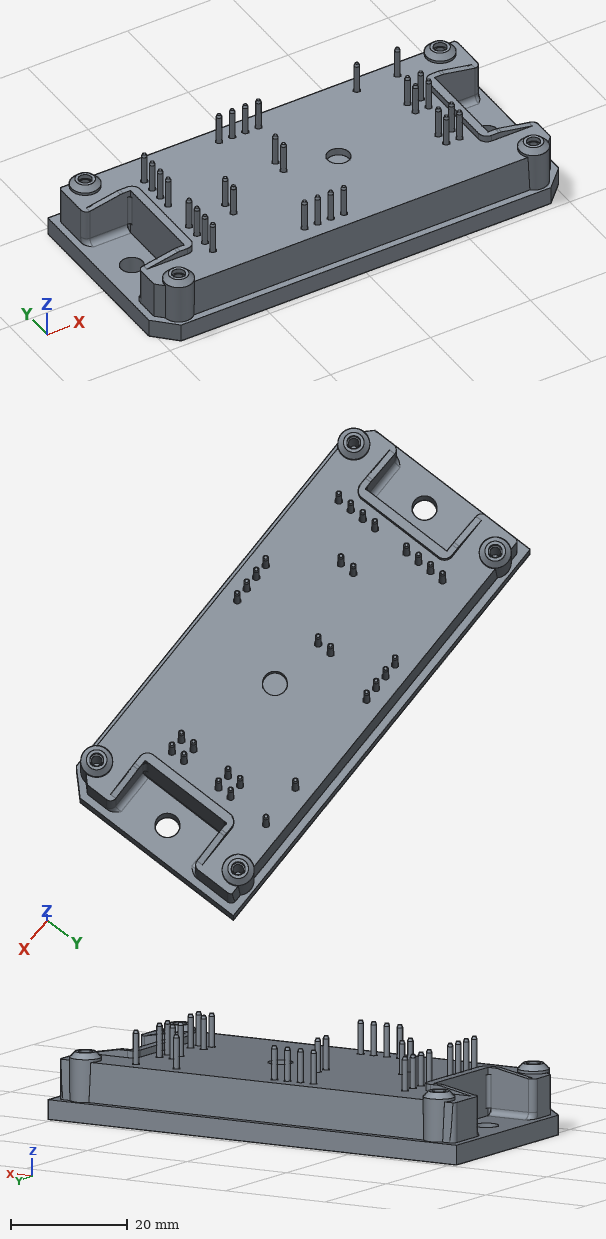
import cadquery as cq
flange_length = 82.0
flange_width = 37.4
flange_height = 3.45
flange_chamfer = 4.0
screw_hole_diameter = 4.3
screw_hole_x = 35.5

block_inset = 1.3
block_top = 10.4
block_corner_radius = 1.0
block_side_draft = 0.25
center_hole_x = 5.8
center_hole_depth = 1.4

pocket_back_x = 30.4
pocket_half_width = 8.85
mouth_radius = 1.15
floor_fillet = 1.15
slot_width = 0.6

rim_side_width = 1.15
rim_back_width = 1.6
rim_top = 11.65
rim_corner_radius = 1.6
ramp_top_x = 32.15
ramp_blend_radius = 2.9

boss_x = screw_hole_x
boss_y = 15.4
boss_diameter = 5.5
boss_top = 11.9
boss_chamfer = 1.0
boss_hole_diameter = 2.4
boss_hole_depth = 0.8
boss_core_diameter = 1.8
boss_core_depth = 6.6

substrate_width = 31.2
substrate_thickness = 1.0
pin_diameter = 1.0
pin_top = 16.2
pin_tip_height = 0.5
pin_tip_taper = 0.205
pin_hole_diameter = 1.2

pin_pitch = 2.6
pair_pitch = 2.7
row_y = 14.1
row_start_x = -9.5
row_count = 4
column_x = -26.15
column_start_y = 3.45
column_count = 4
block_pin_x = 23.5
block_pin_y = 3.8
upper_pair = (-4.3, 1.5)
lower_pair = (-17.7, -1.5)
pair_count = 2
single_pins_x = (18.0, block_pin_x + pin_pitch)

block_half_length = flange_length / 2 - block_inset
block_half_width = flange_width / 2 - block_inset
rim_height = rim_top - block_top
rim_half_width = pocket_half_width + rim_side_width
rim_front_x = block_half_length - mouth_radius
rim_back_x = pocket_back_x - rim_back_width
pocket_depth_x = flange_length / 2 - pocket_back_x
slot_top = flange_height + floor_fillet
substrate_length = 2 * pocket_back_x


def pin_positions():
    """All pin centers: two rows, one split column, two square groups, two pairs and two single pins."""
    points = []
    for side in (-1, 1):
        for i in range(row_count):
            points.append((row_start_x + i * pin_pitch, side * row_y))
        for i in range(column_count):
            points.append((column_x, side * (column_start_y + i * pin_pitch)))
        for i in range(pair_count):
            for j in range(pair_count):
                points.append((block_pin_x + i * pin_pitch, side * (block_pin_y + j * pin_pitch)))
    for i in range(pair_count):
        points.append((upper_pair[0], upper_pair[1] + i * pair_pitch))
        points.append((lower_pair[0], lower_pair[1] - i * pair_pitch))
    for x in single_pins_x:
        points.append((x, row_y))
    return points


def cut_corner_outline(half_length, half_width, chamfer):
    """Rectangle with both corners on the -Y side cut at 45 degrees."""
    return cq.Workplane("XY").polyline([
        (-half_length, half_width),
        (-half_length, -half_width + chamfer),
        (-half_length + chamfer, -half_width),
        (half_length - chamfer, -half_width),
        (half_length, -half_width + chamfer),
        (half_length, half_width),
    ]).close()


def both_ends(left_shape):
    """A shape at the -X end together with its mirror image at the +X end."""
    return left_shape.union(left_shape.mirror("YZ"))


def make_flange():
    outline = cut_corner_outline(flange_length / 2, flange_width / 2, flange_chamfer)
    return outline.extrude(flange_height)


def make_solid_block():
    """Block that starts at the flange underside, with long sides leaning inwards above the flange."""
    chamfer = flange_chamfer - (2 - 2 ** 0.5) * block_inset
    outline = cut_corner_outline(block_half_length, block_half_width, chamfer)
    block = outline.extrude(block_top).edges("|Z and >Y").fillet(block_corner_radius)
    top_half_width = block_half_width - block_side_draft
    section = (
        cq.Workplane("YZ", origin=(-block_half_length, 0, 0))
        .polyline([
            (-block_half_width, 0),
            (block_half_width, 0),
            (block_half_width, flange_height),
            (top_half_width, block_top),
            (-top_half_width, block_top),
            (-block_half_width, flange_height),
        ]).close().extrude(2 * block_half_length)
    )
    return block.intersect(section)


def make_left_pocket():
    """Pocket space with rounded edges along its floor and its back corners."""
    floor_half_width = pocket_half_width - floor_fillet
    side_foot = flange_height + floor_fillet
    pocket = (
        cq.Workplane("YZ", origin=(-flange_length / 2, 0, 0))
        .moveTo(-pocket_half_width, block_top)
        .lineTo(-pocket_half_width, side_foot)
        .radiusArc((-floor_half_width, flange_height), -floor_fillet)
        .lineTo(floor_half_width, flange_height)
        .radiusArc((pocket_half_width, side_foot), -floor_fillet)
        .lineTo(pocket_half_width, block_top)
        .close().extrude(pocket_depth_x)
    )
    return pocket.edges("|Z and >X").fillet(slot_width)


def make_block():
    """Block with both pockets; the rounding below the mouth floors lies inside the flange."""
    block = make_solid_block().cut(both_ends(make_left_pocket()))
    reach = pocket_half_width + mouth_radius / 2
    for side in (-1, 1):
        mouth_x = side * block_half_length
        mouth = cq.selectors.BoxSelector(
            (mouth_x - mouth_radius / 2, -reach, flange_height - mouth_radius / 2),
            (mouth_x + mouth_radius / 2, reach, block_top - mouth_radius / 2),
        )
        block = block.edges(mouth).fillet(mouth_radius)
    return block


def make_left_rim():
    """U-shaped rim on the block whose legs ramp down towards the mouth."""
    length = rim_front_x - rim_back_x
    rim = (
        cq.Workplane("XY", origin=(-rim_back_x - length / 2, 0, block_top))
        .rect(length, 2 * rim_half_width).extrude(rim_height)
        .edges("|Z and >X").fillet(rim_corner_radius)
    )
    side_profile = (
        cq.Workplane("XZ", origin=(0, rim_half_width, 0))
        .polyline([
            (-rim_front_x, block_top),
            (-ramp_top_x, rim_top),
            (-rim_back_x, rim_top),
            (-rim_back_x, block_top),
        ]).close().extrude(2 * rim_half_width)
    )
    ramp_edge = cq.selectors.NearestToPointSelector((-ramp_top_x, 0, rim_top))
    opening = cq.Workplane("XY").box(
        pocket_depth_x, 2 * pocket_half_width, rim_height, centered=(False, True, False)
    ).translate((-flange_length / 2, 0, block_top))
    return rim.intersect(side_profile.edges(ramp_edge).fillet(ramp_blend_radius)).cut(opening)


def make_left_slot():
    """Narrow slot along the back of the pocket, through the flange and the foot of the back wall."""
    return cq.Workplane("XY").box(
        slot_width, 2 * pocket_half_width, slot_top, centered=(False, True, False)
    ).translate((-pocket_back_x - slot_width, 0, 0))


def boss_centers():
    return [(x, y) for x in (-boss_x, boss_x) for y in (-boss_y, boss_y)]


def make_bosses():
    return (
        cq.Workplane("XY", origin=(0, 0, flange_height))
        .pushPoints(boss_centers()).circle(boss_diameter / 2).extrude(boss_top - flange_height)
        .faces(">Z").edges().chamfer(boss_chamfer)
    )


def round_holes(points, diameter, top, depth):
    """Cylinders that reach down from the given top height."""
    return (
        cq.Workplane("XY", origin=(0, 0, top))
        .pushPoints(points).circle(diameter / 2).extrude(-depth)
    )


def make_substrate_plate():
    return cq.Workplane("XY").box(
        substrate_length, substrate_width, substrate_thickness, centered=(True, True, False)
    )


def make_housing():
    housing = make_flange().union(make_block()).union(both_ends(make_left_rim()))
    housing = housing.cut(both_ends(make_left_slot())).union(make_bosses())

    screw_points = [(-screw_hole_x, 0), (screw_hole_x, 0)]
    housing = housing.cut(round_holes(screw_points, screw_hole_diameter, flange_height, flange_height))
    housing = housing.cut(
        round_holes([(center_hole_x, 0)], screw_hole_diameter, block_top, center_hole_depth)
    )
    housing = housing.cut(round_holes(boss_centers(), boss_hole_diameter, boss_top, boss_hole_depth))
    housing = housing.cut(round_holes(boss_centers(), boss_core_diameter, boss_top, boss_core_depth))
    housing = housing.cut(round_holes(pin_positions(), pin_hole_diameter, block_top, block_top))
    return housing.cut(make_substrate_plate())


def make_pin_substrate():
    """Substrate plate with all pins standing on it."""
    pins = (
        cq.Workplane("XY", origin=(0, 0, substrate_thickness))
        .pushPoints(pin_positions()).circle(pin_diameter / 2).extrude(pin_top - substrate_thickness)
        .faces(">Z").edges().chamfer(pin_tip_height, pin_tip_taper)
    )
    return make_substrate_plate().union(pins)


housing = make_housing()
pin_substrate = make_pin_substrate()

result = cq.Compound.makeCompound([housing.solids().val(), pin_substrate.solids().val()])